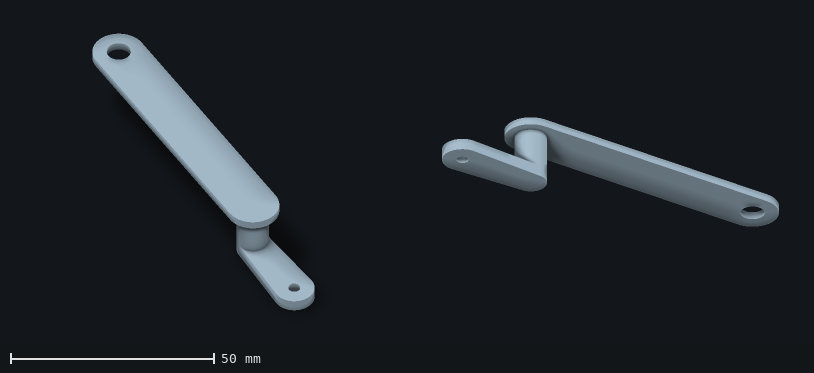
import cadquery as cq
import math

total_length = 96.5
total_height = 15.0

bar_width = 13.0
bar_thickness = 2.0
bar_hole_diameter = 6.0
bar_center_distance = 64.9

post_diameter = 8.0

arm_thickness = 3.0
tip_diameter = 10.0
tip_hole_diameter = 3.0

post_x = bar_center_distance
tip_x = total_length - bar_width / 2 - tip_diameter / 2
bar_bottom = total_height - bar_thickness


def make_bar():
    """Round-ended flat bar with a through hole."""
    bar = (
        cq.Workplane("XY", origin=(0, 0, bar_bottom))
        .center(bar_center_distance / 2, 0)
        .slot2D(bar_center_distance + bar_width, bar_width)
        .extrude(bar_thickness)
    )
    hole = (
        cq.Workplane("XY", origin=(0, 0, bar_bottom))
        .circle(bar_hole_diameter / 2)
        .extrude(bar_thickness)
    )
    return bar.cut(hole)


def make_post():
    """Round post, running from the arm underside to the bar underside."""
    return cq.Workplane("XY").center(post_x, 0).circle(post_diameter / 2).extrude(bar_bottom)


def make_arm():
    """Flat arm whose straight sides are tangent to the post and to the tip."""
    post_radius = post_diameter / 2
    tip_radius = tip_diameter / 2
    taper = math.asin((tip_radius - post_radius) / (tip_x - post_x))

    def tangent_point(center_x, radius):
        return center_x - radius * math.sin(taper), radius * math.cos(taper)

    root_x, root_y = tangent_point(post_x, post_radius)
    end_x, end_y = tangent_point(tip_x, tip_radius)
    arm = (
        cq.Workplane("XY")
        .moveTo(root_x, -root_y)
        .lineTo(end_x, -end_y)
        .threePointArc((tip_x + tip_radius, 0), (end_x, end_y))
        .lineTo(root_x, root_y)
        .threePointArc((post_x - post_radius, 0), (root_x, -root_y))
        .close()
        .extrude(arm_thickness)
    )
    hole = cq.Workplane("XY").center(tip_x, 0).circle(tip_hole_diameter / 2).extrude(arm_thickness)
    return arm.cut(hole)


result = make_bar().union(make_post()).union(make_arm())